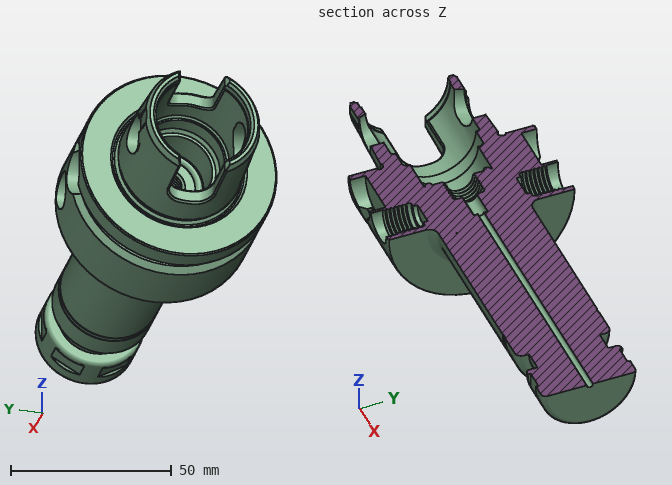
import cadquery as cq
import math

TOTAL_LENGTH = 152.0

SHANK_TIP_RADIUS = 17.3
SHANK_TAPER_START = 2.0
SHANK_TAPER_START_RADIUS = 18.4
SHANK_TAPER_END = 30.2
SHANK_TAPER_END_RADIUS = 19.9
RELIEF_RADIUS = 19.5
FACE_RECESS_INNER_RADIUS = 20.5
FACE_RECESS_RADIUS = 21.9
FACE_RECESS_DEPTH = 0.8

FLANGE_RADIUS = 63.0 / 2
FLANGE_START = 31.8
FLANGE_END = 64.8
FLANGE_FRONT_CHAMFER = 0.5
FLANGE_REAR_BEVEL_LENGTH = 0.9
FLANGE_REAR_BEVEL_HEIGHT = 0.2
GROOVE_OUTER_START = 38.6
GROOVE_FLOOR_START = 40.1
GROOVE_FLOOR_END = 43.6
GROOVE_OUTER_END = 45.3
GROOVE_FLOOR_RADIUS = 28.0
GROOVE_WALL_RADIUS = 29.3

BODY_RADIUS = 16.0
BODY_ROOT_FILLET = 3.0
BODY_BAND_START = 119.6
BODY_BAND_END = 121.5
BODY_BAND_DEPTH = 0.2
BODY_END = 131.5
BODY_END_FILLET = 2.3
NECK_RADIUS = 24.0 / 2
NUT_START = 138.0
NUT_REAR_FILLET = 1.4
NUT_FRONT_FILLET = 1.7

FLAT_COUNT = 6
FLAT_START = 140.1
FLAT_END = 145.9
FLAT_DISTANCE = 15.0
FLAT_WALL_ANGLE = 30.0

MOUTH_RADIUS = 16.1
MOUTH_CHAMFER = 0.9
LEAD_RADIUS = MOUTH_RADIUS - MOUTH_CHAMFER
LEAD_END = 3.3
BORE_RADIUS = 14.9
BORE_END = 26.9
SEAT_START = 27.5
SEAT_MOUTH_RADIUS = 14.1
SEAT_RADIUS = 13.5
SEAT_END = 33.3
SEAT_BOTTOM = 34.4
SEAT_BOTTOM_RADIUS = 12.5
POCKET_RADIUS = 11.4
POCKET_FLOOR = 45.6
BEAD_OUTER_RADIUS = 11.1
BEAD_INNER_RADIUS = 8.7

COOLANT_THREAD_END = 54.7
COOLANT_THREAD_MAJOR_DIAMETER = 11.0
COOLANT_THREAD_MINOR_DIAMETER = 9.3
COOLANT_STEP_MOUTH_DIAMETER = 5.0
COOLANT_STEP_DIAMETER = 4.5
COOLANT_STEP_END = 63.8
COOLANT_DIAMETER = 2.0

THREAD_PITCH = 1.4

SLOT_HALF_WIDTH = 7.1
SLOT_END = 19.9
SLOT_CORNER_RADIUS = 4.1
SLOT_MOUTH_FLARE = 1.0
SLOT_MOUTH_LENGTH = 1.8
SLOT_OUTER_CHAMFER = 0.6
SLOT_INNER_CHAMFER = 0.5

CROSS_HOLE_DIAMETER = 12.5
CROSS_HOLE_X = 15.0
RAMP_ANGLE = 22.0
RAMP_PIVOT_DISTANCE = 17.8
LEAD_FLAT_WIDTH = 5.2
LEAD_FLAT_DISTANCE = 18.1

SIDE_POCKET_DIAMETER = 16.0
SIDE_POCKET_X = 41.8
SIDE_POCKET_FLOOR = 26.3
SIDE_THREAD_X = 56.8
SIDE_THREAD_MAJOR_DIAMETER = 12.0
SIDE_THREAD_MINOR_DIAMETER = 11.0
SIDE_THREAD_LEAD = 3.8
SIDE_THREAD_FLOOR = 18.2
SIDE_TIP_DIAMETER = 8.0
SIDE_TIP_DEPTH = 1.5


def revolved(outline):
    """Turn a closed X-radius outline around the X axis."""
    return outline.close().revolve(360, (0, 0, 0), (1, 0, 0))


def quarter_arc_middle(center_x, center_r, radius, x_side, r_side):
    """Middle point of a quarter circle in the given diagonal direction."""
    offset = radius / math.sqrt(2)
    return (center_x + x_side * offset, center_r + r_side * offset)


def taper_radius_at_tip():
    """Radius the taper would have at X = 0 without the tip bevel."""
    rise = SHANK_TAPER_END_RADIUS - SHANK_TAPER_START_RADIUS
    slope = rise / (SHANK_TAPER_END - SHANK_TAPER_START)
    return SHANK_TAPER_START_RADIUS - slope * SHANK_TAPER_START


def outer_body():
    recess_floor = FLANGE_START + FACE_RECESS_DEPTH
    root_x = FLANGE_END + BODY_ROOT_FILLET
    root_r = BODY_RADIUS + BODY_ROOT_FILLET
    band_radius = BODY_RADIUS - BODY_BAND_DEPTH
    body_arc_x = BODY_END - BODY_END_FILLET
    body_arc_r = BODY_RADIUS - BODY_END_FILLET
    nut_rear_x = NUT_START + NUT_REAR_FILLET
    nut_rear_r = BODY_RADIUS - NUT_REAR_FILLET
    nut_front_x = TOTAL_LENGTH - NUT_FRONT_FILLET
    nut_front_r = BODY_RADIUS - NUT_FRONT_FILLET
    outline = (
        cq.Workplane("XY")
        .moveTo(0, 0)
        .lineTo(0, taper_radius_at_tip())
        .lineTo(SHANK_TAPER_END, SHANK_TAPER_END_RADIUS)
        .lineTo(SHANK_TAPER_END + SHANK_TAPER_END_RADIUS - RELIEF_RADIUS, RELIEF_RADIUS)
        .lineTo(FLANGE_START, RELIEF_RADIUS)
        .lineTo(recess_floor, FACE_RECESS_INNER_RADIUS)
        .lineTo(recess_floor, FACE_RECESS_RADIUS - FACE_RECESS_DEPTH)
        .lineTo(FLANGE_START, FACE_RECESS_RADIUS)
        .lineTo(FLANGE_START, FLANGE_RADIUS - FLANGE_FRONT_CHAMFER)
        .lineTo(FLANGE_START + FLANGE_FRONT_CHAMFER, FLANGE_RADIUS)
        .lineTo(GROOVE_OUTER_START, FLANGE_RADIUS)
        .lineTo(GROOVE_FLOOR_START, GROOVE_WALL_RADIUS)
        .lineTo(GROOVE_FLOOR_START, GROOVE_FLOOR_RADIUS)
        .lineTo(GROOVE_FLOOR_END, GROOVE_FLOOR_RADIUS)
        .lineTo(GROOVE_FLOOR_END, GROOVE_WALL_RADIUS)
        .lineTo(GROOVE_OUTER_END, FLANGE_RADIUS)
        .lineTo(FLANGE_END - FLANGE_REAR_BEVEL_LENGTH, FLANGE_RADIUS)
        .lineTo(FLANGE_END, FLANGE_RADIUS - FLANGE_REAR_BEVEL_HEIGHT)
        .lineTo(FLANGE_END, root_r)
        .threePointArc(
            quarter_arc_middle(root_x, root_r, BODY_ROOT_FILLET, -1, -1),
            (root_x, BODY_RADIUS),
        )
        .lineTo(BODY_BAND_START, BODY_RADIUS)
        .lineTo(BODY_BAND_START, band_radius)
        .lineTo(BODY_BAND_END, band_radius)
        .lineTo(BODY_BAND_END, BODY_RADIUS)
        .lineTo(body_arc_x, BODY_RADIUS)
        .threePointArc(
            quarter_arc_middle(body_arc_x, body_arc_r, BODY_END_FILLET, 1, 1),
            (BODY_END, body_arc_r),
        )
        .lineTo(BODY_END, NECK_RADIUS)
        .lineTo(NUT_START, NECK_RADIUS)
        .lineTo(NUT_START, nut_rear_r)
        .threePointArc(
            quarter_arc_middle(nut_rear_x, nut_rear_r, NUT_REAR_FILLET, -1, 1),
            (nut_rear_x, BODY_RADIUS),
        )
        .lineTo(nut_front_x, BODY_RADIUS)
        .threePointArc(
            quarter_arc_middle(nut_front_x, nut_front_r, NUT_FRONT_FILLET, 1, 1),
            (TOTAL_LENGTH, nut_front_r),
        )
        .lineTo(TOTAL_LENGTH, 0)
    )
    return revolved(outline)


def shank_bore():
    bead_radius = (BEAD_OUTER_RADIUS - BEAD_INNER_RADIUS) / 2
    bead_middle = (POCKET_FLOOR - bead_radius, BEAD_OUTER_RADIUS - bead_radius)
    outline = (
        cq.Workplane("XY")
        .moveTo(0, 0)
        .lineTo(0, BORE_RADIUS)
        .lineTo(BORE_END, BORE_RADIUS)
        .lineTo(SEAT_START, SEAT_MOUTH_RADIUS)
        .lineTo(SEAT_START, SEAT_RADIUS)
        .lineTo(SEAT_END, SEAT_RADIUS)
        .lineTo(SEAT_BOTTOM, SEAT_BOTTOM_RADIUS)
        .lineTo(SEAT_BOTTOM, POCKET_RADIUS)
        .lineTo(POCKET_FLOOR, POCKET_RADIUS)
        .lineTo(POCKET_FLOOR, BEAD_OUTER_RADIUS)
        .threePointArc(bead_middle, (POCKET_FLOOR, BEAD_INNER_RADIUS))
        .lineTo(POCKET_FLOOR, 0)
    )
    return revolved(outline)


def threaded_hole(depth, lead, major_diameter, minor_diameter):
    """Hole along +Z from the origin: a plain lead, then ring-shaped thread grooves."""
    major = major_diameter / 2
    minor = minor_diameter / 2
    outline = cq.Workplane("XZ").moveTo(0, 0).lineTo(major, 0)
    if lead > 0:
        outline = outline.lineTo(major, lead)
    ring_count = int((depth - lead) / THREAD_PITCH)
    for ring in range(ring_count):
        ring_start = lead + ring * THREAD_PITCH
        outline = outline.lineTo(minor, ring_start + THREAD_PITCH / 2)
        outline = outline.lineTo(major, ring_start + THREAD_PITCH)
    outline = outline.lineTo(minor, depth).lineTo(0, depth).close()
    return outline.revolve(360, (0, 0, 0), (0, 1, 0))


def coolant_passage():
    thread = threaded_hole(
        COOLANT_THREAD_END - POCKET_FLOOR,
        0,
        COOLANT_THREAD_MAJOR_DIAMETER,
        COOLANT_THREAD_MINOR_DIAMETER,
    )
    thread = thread.rotate((0, 0, 0), (0, 1, 0), 90).translate((POCKET_FLOOR, 0, 0))
    mouth_radius = COOLANT_STEP_MOUTH_DIAMETER / 2
    step_radius = COOLANT_STEP_DIAMETER / 2
    bore_radius = COOLANT_DIAMETER / 2
    outline = (
        cq.Workplane("XY")
        .moveTo(COOLANT_THREAD_END, 0)
        .lineTo(COOLANT_THREAD_END, mouth_radius)
        .lineTo(COOLANT_THREAD_END + mouth_radius - step_radius, step_radius)
        .lineTo(COOLANT_STEP_END, step_radius)
        .lineTo(COOLANT_STEP_END, bore_radius)
        .lineTo(TOTAL_LENGTH, bore_radius)
        .lineTo(TOTAL_LENGTH, 0)
    )
    return thread.union(revolved(outline))


def tip_bevel():
    outline = (
        cq.Workplane("XY")
        .moveTo(0, SHANK_TIP_RADIUS)
        .lineTo(SHANK_TAPER_START, SHANK_TAPER_START_RADIUS)
        .lineTo(SHANK_TAPER_START, FLANGE_RADIUS)
        .lineTo(0, FLANGE_RADIUS)
    )
    return revolved(outline)


def bore_mouth():
    """Chamfered, slightly wider start of the bore."""
    outline = (
        cq.Workplane("XY")
        .moveTo(0, 0)
        .lineTo(0, MOUTH_RADIUS)
        .lineTo(MOUTH_CHAMFER, LEAD_RADIUS)
        .lineTo(LEAD_END, LEAD_RADIUS)
        .lineTo(LEAD_END, 0)
    )
    return revolved(outline)


def drive_slot():
    return (
        cq.Workplane("XY")
        .box(2 * SLOT_END, 2 * SLOT_HALF_WIDTH, 2 * FLANGE_RADIUS)
        .edges("|Z and >X")
        .fillet(SLOT_CORNER_RADIUS)
    )


def slot_flare():
    """Widening of the slot toward the shank end."""
    flare = SLOT_HALF_WIDTH + SLOT_MOUTH_FLARE
    return (
        cq.Workplane("XY")
        .polyline(
            [
                (0, -flare),
                (SLOT_MOUTH_LENGTH, -SLOT_HALF_WIDTH),
                (SLOT_MOUTH_LENGTH, SLOT_HALF_WIDTH),
                (0, flare),
            ]
        )
        .close()
        .extrude(FLANGE_RADIUS, both=True)
    )


def is_slot_rim(edge):
    """True for the edges where the slot meets the taper or the bore."""
    center = edge.Center()
    box = edge.BoundingBox()
    along_slot = 0 < center.x < SLOT_END + 0.2 and abs(center.y) < SLOT_HALF_WIDTH + 0.2
    between_walls = box.zlen > max(box.xlen, box.ylen)
    return along_slot and not between_walls


def is_outer(edge):
    center = edge.Center()
    return math.hypot(center.y, center.z) > (BORE_RADIUS + SHANK_TIP_RADIUS) / 2


def slotted_body():
    """Body with bore and drive slot; the slot rim is chamfered before the end is bevelled."""
    body = outer_body().cut(shank_bore()).cut(drive_slot())
    for outer, size in ((True, SLOT_OUTER_CHAMFER), (False, SLOT_INNER_CHAMFER)):
        rim = [edge for edge in body.edges().vals() if is_slot_rim(edge) and is_outer(edge) == outer]
        body = body.newObject(rim).chamfer(size)
    return body.cut(tip_bevel()).cut(bore_mouth()).cut(slot_flare())


def cross_hole():
    return (
        cq.Workplane("XZ")
        .center(CROSS_HOLE_X, 0)
        .circle(CROSS_HOLE_DIAMETER / 2)
        .extrude(SHANK_TAPER_END_RADIUS, both=True)
    )


def ball_ramp():
    """Slanted bore of the -Y cross hole, leaning toward the shank end on its way inward."""
    radius = CROSS_HOLE_DIAMETER / 2
    shift = radius / math.cos(math.radians(RAMP_ANGLE)) - radius
    pivot = (CROSS_HOLE_X - shift, -RAMP_PIVOT_DISTANCE, 0)
    slanted = (
        cq.Workplane("XZ", origin=pivot)
        .circle(radius)
        .extrude(RAMP_PIVOT_DISTANCE / 2, both=True)
        .rotate(pivot, (pivot[0], pivot[1], 1), RAMP_ANGLE)
    )
    inside = cq.Workplane("XY").box(4 * CROSS_HOLE_X, 2 * RAMP_PIVOT_DISTANCE, CROSS_HOLE_DIAMETER)
    return slanted.intersect(inside)


def lead_flat(side):
    height = FLANGE_RADIUS - LEAD_FLAT_DISTANCE
    center_y = side * (LEAD_FLAT_DISTANCE + height / 2)
    return (
        cq.Workplane("XY")
        .box(CROSS_HOLE_X, height, LEAD_FLAT_WIDTH)
        .translate((CROSS_HOLE_X / 2, center_y, 0))
    )


def side_pocket():
    """Flat-bottomed round pocket on the -Y side."""
    return (
        cq.Workplane("XZ", origin=(SIDE_POCKET_X, -SIDE_POCKET_FLOOR, 0))
        .circle(SIDE_POCKET_DIAMETER / 2)
        .extrude(FLANGE_RADIUS - SIDE_POCKET_FLOOR)
    )


def side_thread():
    """Threaded hole on the -Y side, with a narrower tip at its floor."""
    depth = FLANGE_RADIUS - SIDE_THREAD_FLOOR
    hole = threaded_hole(
        depth, SIDE_THREAD_LEAD, SIDE_THREAD_MAJOR_DIAMETER, SIDE_THREAD_MINOR_DIAMETER
    )
    tip = cq.Workplane("XY").circle(SIDE_TIP_DIAMETER / 2).extrude(depth + SIDE_TIP_DEPTH)
    hole = hole.union(tip).rotate((0, 0, 0), (1, 0, 0), -90)
    return hole.translate((SIDE_THREAD_X, -FLANGE_RADIUS, 0))


def nut_flat(angle):
    """Cutter for one spanner flat; its front wall leans outward."""
    height = BODY_RADIUS
    lean = height * math.tan(math.radians(FLAT_WALL_ANGLE))
    cutter = (
        cq.Workplane("XY")
        .workplane(offset=-BODY_RADIUS / 2)
        .polyline(
            [
                (FLAT_START, FLAT_DISTANCE),
                (FLAT_END, FLAT_DISTANCE),
                (FLAT_END + lean, FLAT_DISTANCE + height),
                (FLAT_START, FLAT_DISTANCE + height),
            ]
        )
        .close()
        .extrude(BODY_RADIUS)
    )
    return cutter.rotate((0, 0, 0), (1, 0, 0), angle)


result = slotted_body().cut(coolant_passage()).cut(cross_hole())

for side in (-1, 1):
    result = result.cut(lead_flat(side))

result = result.cut(ball_ramp()).cut(ball_ramp().mirror("XZ"))

for side_feature in (side_pocket(), side_thread()):
    result = result.cut(side_feature)
    result = result.cut(side_feature.rotate((0, 0, 0), (1, 0, 0), 180))

for index in range(FLAT_COUNT):
    result = result.cut(nut_flat(index * 360 / FLAT_COUNT))